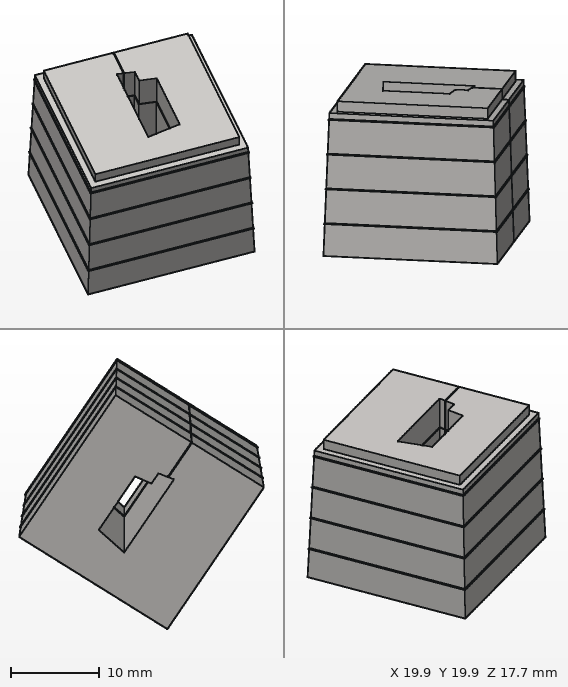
import cadquery as cq
import math

base_width = 19.9
total_height = 17.7
wall_taper = 2.0

body_height = 16.48
plate_width = 17.2

course_pitch = 4.0
first_lip_height = 3.7
lip_rise = 0.12
lip_overhang = 0.08
lip_count = 4

opening_front = -1.03
opening_back = 2.97
opening_front_left = -5.31
opening_front_right = 5.13
opening_back_left = -3.18
opening_back_right = 4.44
step_y = 0.98
step_outer_x = -4.94
step_inner_x = -3.5

ledge_height = 13.93
ledge_width = 0.08

slit_y = -0.25
slit_width = 0.1


def body_width(height):
    """Outside width of the tapered body at a given height."""
    return base_width - 2 * height * math.tan(math.radians(wall_taper))


def frustum(bottom_width, top_width, bottom, top):
    """Square tapered block between two heights."""
    return (
        cq.Workplane("XY", origin=(0, 0, bottom))
        .rect(bottom_width, bottom_width)
        .workplane(offset=top - bottom)
        .rect(top_width, top_width)
        .loft(combine=True)
    )


def lip(height):
    """Solid slab whose edge stands proud of the wall as a sharp lip."""
    top = height + lip_rise
    return frustum(body_width(height) + 2 * lip_overhang, body_width(top), height, top)


def opening_outline(height):
    """Trapezoid with one stepped side."""
    return (
        cq.Workplane("XY", origin=(0, 0, height))
        .moveTo(opening_front_left, opening_front)
        .lineTo(opening_front_right, opening_front)
        .lineTo(opening_back_right, opening_back)
        .lineTo(opening_back_left, opening_back)
        .lineTo(step_inner_x, step_y)
        .lineTo(step_outer_x, step_y)
        .close()
    )


result = frustum(base_width, body_width(body_height), 0, body_height)
plate = cq.Workplane("XY").rect(plate_width, plate_width).extrude(total_height)
result = result.union(plate)

for course in range(lip_count):
    result = result.union(lip(first_lip_height + course * course_pitch))

lower_opening = opening_outline(0).offset2D(-ledge_width, "intersection").extrude(total_height)
upper_opening = opening_outline(ledge_height).extrude(total_height - ledge_height)
result = result.cut(lower_opening).cut(upper_opening)

slit_length = base_width / 2 + step_outer_x
slit = (
    cq.Workplane("XY")
    .box(slit_length, slit_width, total_height, centered=(False, True, False))
    .translate((-base_width / 2, slit_y, 0))
)
result = result.cut(slit)